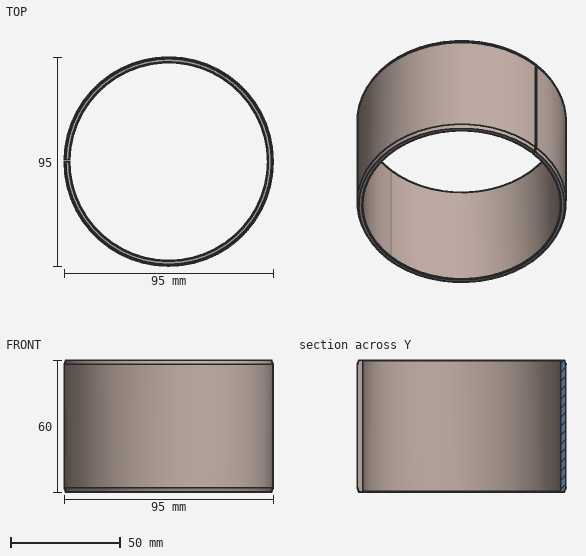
import cadquery as cq

outer_diameter = 95.0
inner_diameter = 90.0
length = 60.0

outer_chamfer_length = 2.0
outer_chamfer_depth = 0.8
inner_chamfer = 0.4

slit_width = 0.8
slit_start_y = 0.0

outer_radius = outer_diameter / 2
inner_radius = inner_diameter / 2
half_length = length / 2


def make_sleeve():
    """Revolve the chamfered wall section around Z."""
    section = [
        (inner_radius, half_length - inner_chamfer),
        (inner_radius + inner_chamfer, half_length),
        (outer_radius - outer_chamfer_depth, half_length),
        (outer_radius, half_length - outer_chamfer_length),
        (outer_radius, outer_chamfer_length - half_length),
        (outer_radius - outer_chamfer_depth, -half_length),
        (inner_radius + inner_chamfer, -half_length),
        (inner_radius, inner_chamfer - half_length),
    ]
    return cq.Workplane("XZ").polyline(section).close().revolve(360, (0, 0, 0), (0, 1, 0))


def make_slit():
    """Full-length cutter that opens the wall on the -X side."""
    return (
        cq.Workplane("XY")
        .box(outer_radius, slit_width, length, centered=(False, False, True))
        .translate((-outer_radius, slit_start_y, 0))
    )


result = make_sleeve().cut(make_slit())